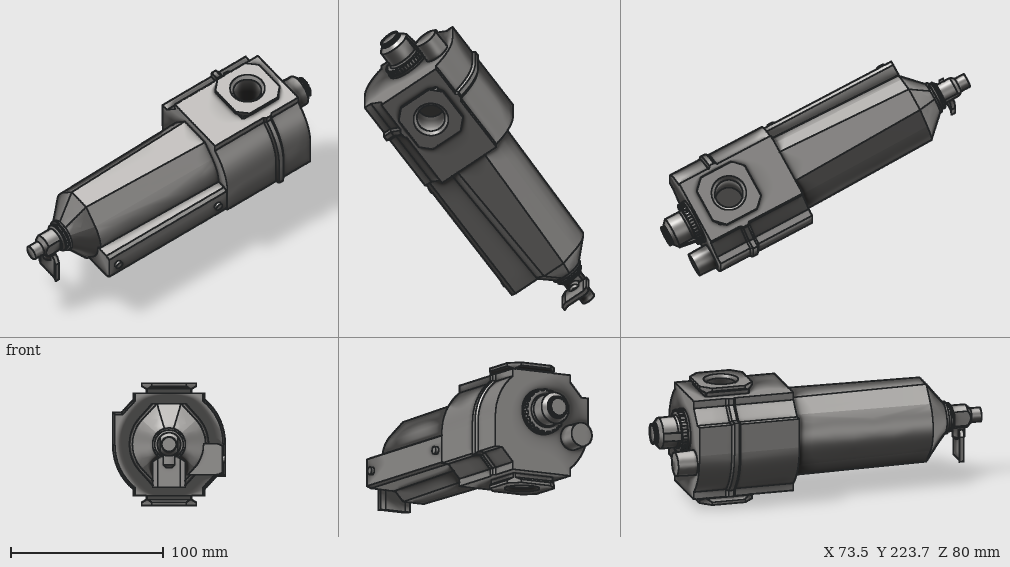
import cadquery as cq
import math


HEAD_REAR = 25.0
HEAD_FRONT = -43.0
HEAD_HALF_HEIGHT = 33.5
NECK_HALF_WIDTH = 22.0
NECK_EDGE = 28.6
SIDE_HALF_WIDTH = 35.3
LEDGE_HALF_WIDTH = 30.5
LEDGE_HEIGHT = 19.5
SIDE_RADIUS = 35.8
BAND_RISE = 1.45
BAND_WIDTH = 6.3

PORT_FACE = 40.0
PAD_HALF = 18.0
PAD_CORNER = 6.7
PAD_RIM = 2.0
PAD_TAPER = 1.8
PAD_NECK_HALF = 15.0
PORT_RADIUS = 9.2
PORT_MOUTH_RADIUS = 11.5
PORT_DEPTH = 26.8

BOWL_END = -137.8
CONE_END = -151.2
FLANGE_END = -152.8
FLANGE_RADIUS = 10.7
BOWL_HALF_HEIGHT = 26.6
BOWL_RADIUS_REAR = 26.0
BOWL_RADIUS_FRONT = 24.0
BOWL_FLAT_REAR = 11.0
BOWL_FLAT_FRONT = 7.8
BOWL_CORNER_ANGLE = 42

GAUGE_END = -139.1
GAUGE_INNER_X = 9.0
GAUGE_OUTER_X = 34.7
GAUGE_TOP = 0.5
GAUGE_BOTTOM = -20.0
GAUGE_BEVEL_X = 3.0
GAUGE_BEVEL_Z = 1.3
SCREW_RADIUS = 2.5
SCREW_POSITIONS = (-50.5, -132.2)

DRAIN_NECK_RADIUS = 8.7
DRAIN_RIM_RADIUS = 9.5
DRAIN_RIM_REAR = -154.5
DRAIN_RIM_FRONT = -155.7
DRAIN_BODY_START = -157.0
DRAIN_BODY_RADIUS = 7.5
DRAIN_FLAT_HALF = 5.8
DRAIN_FLAT_START = -157.5
DRAIN_SHOULDER = -166.9
NOZZLE_COLLAR_START = -169.8
NOZZLE_COLLAR_RADIUS = 5.0
NOZZLE_START = -171.0
NOZZLE_END = -176.7
NOZZLE_RADIUS = 4.7
STEM_Y = -162.2
STEM_RADIUS = 4.0
STEM_BOTTOM = -15.2
STEM_CHAMFER = 1.8
WING_THICKNESS = 3.0
WING_HALF_WIDTH = 10.5
WING_FLAT_HALF = 7.4
WING_OFFSET = 1.1
WING_BOTTOM = -28.0
WING_CORNER_Z = -11.2
WING_TOP = -7.8
WING_TOP_HALF = 5.1

KNOB_Z = 6.7
KNOB_RADIUS = 10.3
KNOB_BASE_RADIUS = 15.0
COLLAR_RADIUS = 14.5
COLLAR_REAR = 30.2
COLLAR_FRONT = 26.6
CROWN_RADIUS = 6.7
CROWN_FRONT = 44.7
CROWN_REAR = 47.0
KNOB_SHOULDER = 42.0
SHOULDER_END_RADIUS = 7.4
SKIRT_RADIUS = 11.0
SKIRT_END = 32.0
NOTCH_COUNT = 20
NOTCH_DEPTH = 1.0
POINTER_HALF_WIDTH = 2.7
POINTER_REACH = 12.0

PLUG_X = -22.8
PLUG_Z = -8.0
PLUG_REAR = 38.0
PLUG_RADIUS = 8.3
PLUG_END_RADIUS = 7.8


def xz_plane(y):
    """Plane across the bowl axis at y: local x is X, local y is Z, and its normal is -Y."""
    return cq.Workplane("XZ", origin=(0, y, 0))


def turned(profile):
    """Revolve (radius, y) points around the Y axis, closing the profile along the axis."""
    points = [(0, profile[0][1]), *profile, (0, profile[-1][1])]
    return cq.Workplane("XY").polyline(points).close().revolve(360, (0, 0, 0), (0, 1, 0))



def head_outline(y):
    """Head outline, symmetric under a half turn about the Y axis."""
    return (
        xz_plane(y)
        .moveTo(NECK_HALF_WIDTH, HEAD_HALF_HEIGHT)
        .lineTo(-NECK_HALF_WIDTH, HEAD_HALF_HEIGHT)
        .lineTo(-NECK_HALF_WIDTH, NECK_EDGE)
        .lineTo(-LEDGE_HALF_WIDTH, LEDGE_HEIGHT)
        .lineTo(-SIDE_HALF_WIDTH, LEDGE_HEIGHT)
        .lineTo(-SIDE_HALF_WIDTH, 0)
        .radiusArc((-NECK_HALF_WIDTH, -NECK_EDGE), -SIDE_RADIUS)
        .lineTo(-NECK_HALF_WIDTH, -HEAD_HALF_HEIGHT)
        .lineTo(NECK_HALF_WIDTH, -HEAD_HALF_HEIGHT)
        .lineTo(NECK_HALF_WIDTH, -NECK_EDGE)
        .lineTo(LEDGE_HALF_WIDTH, -LEDGE_HEIGHT)
        .lineTo(SIDE_HALF_WIDTH, -LEDGE_HEIGHT)
        .lineTo(SIDE_HALF_WIDTH, 0)
        .radiusArc((NECK_HALF_WIDTH, NECK_EDGE), -SIDE_RADIUS)
        .close()
    )


def make_band():
    """Raised band with bevelled edges, trimmed level with the flat top and bottom."""
    band = (
        head_outline(BAND_WIDTH / 2)
        .offset2D(BAND_RISE, "intersection")
        .extrude(BAND_WIDTH)
        .faces("<Y or >Y")
        .chamfer(BAND_RISE)
    )
    trim_width = 3 * SIDE_HALF_WIDTH
    return band.intersect(cq.Workplane("XY").box(trim_width, trim_width, 2 * HEAD_HALF_HEIGHT))


def make_port_pad():
    """Top port pad: square with a tapered underside on a neck, its corners cut at 45 degrees."""
    rim_bottom = PORT_FACE - PAD_RIM
    taper_bottom = rim_bottom - PAD_TAPER
    rim = cq.Workplane("XY", origin=(0, 0, rim_bottom)).rect(2 * PAD_HALF, 2 * PAD_HALF).extrude(PAD_RIM)
    taper = (
        cq.Workplane("XY", origin=(0, 0, taper_bottom))
        .rect(2 * PAD_NECK_HALF, 2 * PAD_NECK_HALF)
        .workplane(offset=PAD_TAPER)
        .rect(2 * PAD_HALF, 2 * PAD_HALF)
        .loft(ruled=True)
    )
    neck_height = taper_bottom - HEAD_HALF_HEIGHT
    neck = (
        cq.Workplane("XY", origin=(0, 0, HEAD_HALF_HEIGHT))
        .rect(2 * PAD_NECK_HALF, 2 * PAD_NECK_HALF)
        .extrude(neck_height)
    )
    diamond_side = math.sqrt(2) * (2 * PAD_HALF - PAD_CORNER)
    corner_trim = (
        cq.Workplane("XY")
        .transformed(rotate=(0, 0, 45))
        .rect(diamond_side, diamond_side)
        .extrude(PORT_FACE)
    )
    return rim.union(taper).union(neck).intersect(corner_trim)


def make_port_bore():
    """Blind bore of the top port with a 45 degree countersink."""
    countersink = PORT_MOUTH_RADIUS - PORT_RADIUS
    return (
        cq.Workplane("XZ")
        .moveTo(0, PORT_FACE)
        .lineTo(PORT_MOUTH_RADIUS, PORT_FACE)
        .lineTo(PORT_RADIUS, PORT_FACE - countersink)
        .lineTo(PORT_RADIUS, PORT_FACE - PORT_DEPTH)
        .lineTo(0, PORT_FACE - PORT_DEPTH)
        .close()
        .revolve(360, (0, 0, 0), (0, 1, 0))
    )


def make_head():
    head = head_outline(HEAD_REAR).extrude(HEAD_REAR - HEAD_FRONT).union(make_band())
    for turn in (0, 180):
        head = head.union(make_port_pad().rotate((0, 0, 0), (0, 1, 0), turn))
        head = head.cut(make_port_bore().rotate((0, 0, 0), (0, 1, 0), turn))
    return head



def eight_sided_wire(y, top_corner, side_corner, side_radius, round_flats=False):
    """Closed wire at y with round +X and -X sides; the other six sides are straight or round."""
    (top_x, top_z), (side_x, side_z) = top_corner, side_corner
    corners = [
        (side_x, -side_z), (side_x, side_z), (top_x, top_z), (-top_x, top_z),
        (-side_x, side_z), (-side_x, -side_z), (-top_x, -top_z), (top_x, -top_z),
    ]
    edges = []
    for index, start in enumerate(corners):
        end = corners[(index + 1) % len(corners)]
        start_point = cq.Vector(start[0], y, start[1])
        end_point = cq.Vector(end[0], y, end[1])
        is_side = start[0] == end[0]
        if is_side or round_flats:
            middle = (start_point + end_point) / 2
            reach = math.hypot(middle.x, middle.z)
            apex = cq.Vector(middle.x * side_radius / reach, y, middle.z * side_radius / reach)
            edges.append(cq.Edge.makeThreePointArc(start_point, apex, end_point))
        else:
            edges.append(cq.Edge.makeLine(start_point, end_point))
    return cq.Wire.assembleEdges(edges)


def on_circle(radius, angle):
    return radius * math.cos(angle), radius * math.sin(angle)


def make_bowl_shell():
    """Tapering eight-sided bowl, and the cone that runs from it into a round flange."""
    side_angle = math.radians(BOWL_CORNER_ANGLE)
    top_angle = math.atan2(BOWL_HALF_HEIGHT, BOWL_FLAT_FRONT)
    rear = eight_sided_wire(
        HEAD_FRONT,
        (BOWL_FLAT_REAR, BOWL_HALF_HEIGHT),
        on_circle(BOWL_RADIUS_REAR, side_angle),
        BOWL_RADIUS_REAR,
    )
    front = eight_sided_wire(
        BOWL_END,
        (BOWL_FLAT_FRONT, BOWL_HALF_HEIGHT),
        on_circle(BOWL_RADIUS_FRONT, side_angle),
        BOWL_RADIUS_FRONT,
    )
    cone_tip = eight_sided_wire(
        CONE_END,
        on_circle(FLANGE_RADIUS, top_angle),
        on_circle(FLANGE_RADIUS, side_angle),
        FLANGE_RADIUS,
        round_flats=True,
    )
    barrel = cq.Workplane(cq.Solid.makeLoft([rear, front], True))
    cone = cq.Workplane(cq.Solid.makeLoft([front, cone_tip], True))
    flange = xz_plane(CONE_END).circle(FLANGE_RADIUS).extrude(CONE_END - FLANGE_END)
    return barrel.union(cone).union(flange)


def make_gauge():
    """Sight gauge bar with bevelled outer corners and two screw heads."""
    bevel_x = GAUGE_OUTER_X - GAUGE_BEVEL_X
    gauge = (
        xz_plane(HEAD_FRONT)
        .moveTo(GAUGE_INNER_X, GAUGE_TOP)
        .lineTo(bevel_x, GAUGE_TOP)
        .lineTo(GAUGE_OUTER_X, GAUGE_TOP - GAUGE_BEVEL_Z)
        .lineTo(GAUGE_OUTER_X, GAUGE_BOTTOM + GAUGE_BEVEL_Z)
        .lineTo(bevel_x, GAUGE_BOTTOM)
        .lineTo(GAUGE_INNER_X, GAUGE_BOTTOM)
        .close()
        .extrude(HEAD_FRONT - GAUGE_END)
    )
    screw_z = (GAUGE_TOP + GAUGE_BOTTOM) / 2
    screw_height = SIDE_HALF_WIDTH + BAND_RISE - GAUGE_OUTER_X
    for screw_y in SCREW_POSITIONS:
        screw = (
            cq.Workplane("YZ", origin=(GAUGE_OUTER_X, screw_y, screw_z))
            .circle(SCREW_RADIUS)
            .extrude(screw_height)
        )
        gauge = gauge.union(screw)
    return gauge


def make_bowl():
    return make_bowl_shell().union(make_gauge())



def make_drain_body():
    """Turned body with two flat sides and an outlet nozzle."""
    body = turned([
        (DRAIN_NECK_RADIUS, FLANGE_END),
        (DRAIN_RIM_RADIUS, DRAIN_RIM_REAR),
        (DRAIN_RIM_RADIUS, DRAIN_RIM_FRONT),
        (DRAIN_BODY_RADIUS, DRAIN_BODY_START),
        (DRAIN_BODY_RADIUS, DRAIN_SHOULDER),
        (NOZZLE_COLLAR_RADIUS, NOZZLE_COLLAR_START),
        (NOZZLE_RADIUS, NOZZLE_START),
        (NOZZLE_RADIUS, NOZZLE_END),
    ])
    flat_length = DRAIN_FLAT_START - NOZZLE_START
    for side in (-1, 1):
        cutter = cq.Workplane("XY").box(DRAIN_BODY_RADIUS, flat_length, 2 * DRAIN_BODY_RADIUS)
        cutter_x = side * (DRAIN_FLAT_HALF + DRAIN_BODY_RADIUS / 2)
        body = body.cut(cutter.translate((cutter_x, DRAIN_FLAT_START - flat_length / 2, 0)))
    return body


def make_wing():
    """Thumb wing: a plate with its tips bent to opposite sides and its top corners cut."""
    half = WING_THICKNESS / 2
    centre_line = [
        (-WING_HALF_WIDTH, WING_OFFSET),
        (-WING_FLAT_HALF, 0),
        (WING_FLAT_HALF, 0),
        (WING_HALF_WIDTH, -WING_OFFSET),
    ]
    rear_edge = [(x, STEM_Y + y + half) for x, y in centre_line]
    front_edge = [(x, STEM_Y + y - half) for x, y in reversed(centre_line)]
    plate = (
        cq.Workplane("XY", origin=(0, 0, WING_BOTTOM))
        .polyline(rear_edge + front_edge)
        .close()
        .extrude(WING_TOP - WING_BOTTOM)
    )
    trim_depth = WING_THICKNESS + 2 * WING_OFFSET
    face_outline = (
        xz_plane(STEM_Y)
        .polyline([
            (-WING_HALF_WIDTH, WING_BOTTOM),
            (-WING_HALF_WIDTH, WING_CORNER_Z),
            (-WING_TOP_HALF, WING_TOP),
            (WING_TOP_HALF, WING_TOP),
            (WING_HALF_WIDTH, WING_CORNER_Z),
            (WING_HALF_WIDTH, WING_BOTTOM),
        ])
        .close()
        .extrude(trim_depth, both=True)
    )
    return plate.intersect(face_outline)


def make_drain():
    stem = (
        cq.Workplane("XY", origin=(0, STEM_Y, STEM_BOTTOM))
        .circle(STEM_RADIUS)
        .extrude(-STEM_BOTTOM)
        .faces("<Z")
        .chamfer(STEM_CHAMFER)
    )
    return make_drain_body().union(stem).union(make_wing())



def cut_notches(body, radius, front, rear):
    """Cut evenly spaced grip notches, as wide as the teeth between them, around the Y axis."""
    notch_width = math.pi * radius / NOTCH_COUNT
    for index in range(NOTCH_COUNT):
        notch = (
            cq.Workplane("XY")
            .box(notch_width, rear - front, 2 * NOTCH_DEPTH)
            .translate((0, (front + rear) / 2, radius))
            .rotate((0, 0, 0), (0, 1, 0), (index + 0.5) * 360 / NOTCH_COUNT)
        )
        body = body.cut(notch)
    return body


def make_pointer():
    """Rib on the -X side of the knob, rising toward the collar."""
    return (
        cq.Workplane("XY")
        .polyline([
            (0, KNOB_SHOULDER),
            (-KNOB_RADIUS, KNOB_SHOULDER),
            (-POINTER_REACH, COLLAR_REAR),
            (0, COLLAR_REAR),
        ])
        .close()
        .extrude(POINTER_HALF_WIDTH, both=True)
    )


def make_knob():
    """Knob with a notched collar and a notched crown, built on the Y axis and then lifted."""
    knob = turned([
        (KNOB_BASE_RADIUS, HEAD_REAR),
        (KNOB_BASE_RADIUS, COLLAR_FRONT),
        (COLLAR_RADIUS, COLLAR_FRONT),
        (COLLAR_RADIUS, COLLAR_REAR),
        (SKIRT_RADIUS, COLLAR_REAR),
        (KNOB_RADIUS, SKIRT_END),
        (KNOB_RADIUS, KNOB_SHOULDER),
        (SHOULDER_END_RADIUS, CROWN_FRONT),
        (CROWN_RADIUS, CROWN_FRONT),
        (CROWN_RADIUS, CROWN_REAR),
    ])
    knob = cut_notches(knob, COLLAR_RADIUS, COLLAR_FRONT, COLLAR_REAR)
    knob = cut_notches(knob, CROWN_RADIUS, CROWN_FRONT, CROWN_REAR)
    return knob.union(make_pointer()).translate((0, 0, KNOB_Z))



def make_plug():
    """Slightly tapered round plug."""
    plug = turned([(PLUG_RADIUS, HEAD_REAR), (PLUG_END_RADIUS, PLUG_REAR)])
    return plug.translate((PLUG_X, 0, PLUG_Z))


head = make_head()
bowl = make_bowl()
drain = make_drain()
knob = make_knob()
plug = make_plug()

bodies = [head, bowl, drain, knob, plug]
result = cq.Compound.makeCompound([body.solids().val() for body in bodies])